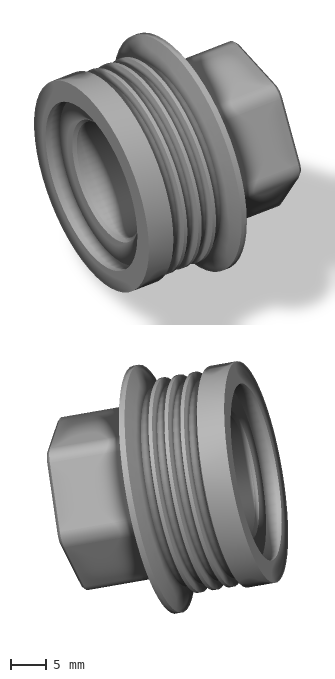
import cadquery as cq
import math

collar_top = 4.02
groove_start = 4.62
groove_end = 12.75
flange_rim_start = 14.1
flange_top = 14.97
total_length = 27.3

flange_radius = 17.78
collar_radius = 15.9
groove_radius = 14.22
recess_radius = 12.7
bore_radius = 8.75

ridge_count = 3
ridge_radius = 15.45
first_ridge_center = 6.33
ridge_pitch = 2.35
ridge_base_width = 1.3
ridge_tip_width = 0.55

hex_across_flats = 22.2
hex_corner_radius = 2.5
hex_chamfer = 0.5

recess_depth = 2.3
bore_chamfer = 0.45


def ridge_points(center):
    """Trapezoidal ridge outline as (radius, Y) points."""
    half_base = ridge_base_width / 2
    half_tip = ridge_tip_width / 2
    return [
        (groove_radius, center - half_base),
        (ridge_radius, center - half_tip),
        (ridge_radius, center + half_tip),
        (groove_radius, center + half_base),
    ]


def make_body():
    """Turned collar, ridged groove and conical flange."""
    outline = [(0, 0), (collar_radius, 0), (collar_radius, collar_top), (groove_radius, groove_start)]
    for index in range(ridge_count):
        outline += ridge_points(first_ridge_center + index * ridge_pitch)
    outline += [
        (groove_radius, groove_end),
        (flange_radius, flange_rim_start),
        (flange_radius, flange_top),
        (0, flange_top),
    ]
    return cq.Workplane("XY").polyline(outline).close().revolve(360, (0, 0), (0, 1))


def make_hex_head():
    """Hexagon with corners on the X axis, rounded edges and a chamfered end."""
    corner_diameter = hex_across_flats / math.cos(math.pi / 6)
    return (
        cq.Workplane("XZ", origin=(0, flange_top, 0))
        .polygon(6, corner_diameter)
        .extrude(flange_top - total_length)
        .edges("|Y")
        .fillet(hex_corner_radius)
        .faces(">Y")
        .edges()
        .chamfer(hex_chamfer)
    )


def make_opening():
    """Recess, chamfered bore mouth and through bore as one turned cutter."""
    outline = [
        (0, 0),
        (recess_radius, 0),
        (recess_radius, recess_depth),
        (bore_radius + bore_chamfer, recess_depth),
        (bore_radius, recess_depth + bore_chamfer),
        (bore_radius, total_length),
        (0, total_length),
    ]
    return cq.Workplane("XY").polyline(outline).close().revolve(360, (0, 0), (0, 1))


result = make_body().union(make_hex_head()).cut(make_opening())